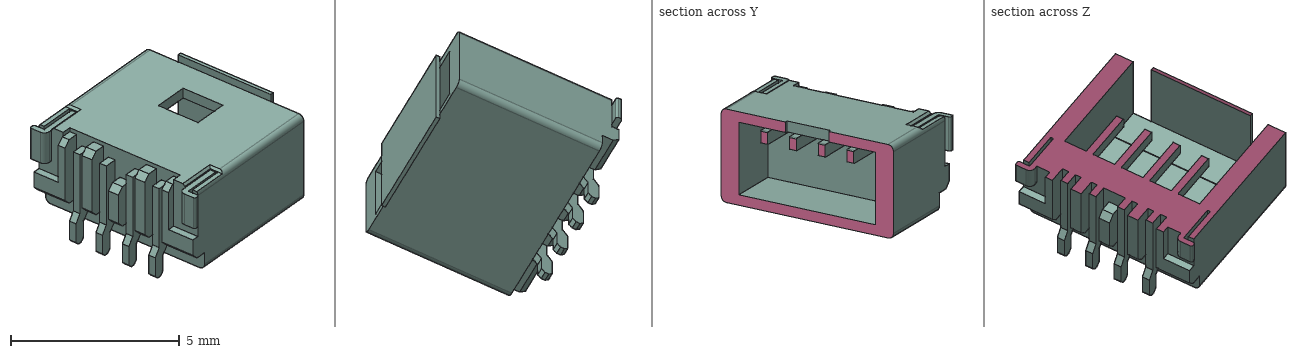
import cadquery as cq


housing_width = 6.0
housing_height = 3.0
housing_back = 5.415
edge_radius = 0.195
back_wall_y = 0.61
rib_front_y = 0.05
corner_front_y = 0.295
corner_inner_x = 2.085
end_rib_inner_x = 1.83
corner_bottom_z = 1.35

pitch = 1.0
pin_count = 4
rib_width = 0.375
rib_bottom_z = 0.605
rib_top_z = 2.865
middle_rib_top_z = 2.01
rib_chamfer = 0.2

pin_width = 0.25
pin_top_z = 2.545
pin_front_y = 0.19
foot_depth = 0.37
foot_bottom_z = -0.6
foot_chamfer = 0.12
bend_front_top_z = 0.45
bend_front_bottom_z = 0.18
bend_back_top_z = 0.4
bend_back_bottom_z = 0.095
contact_height = 0.4
contact_end_y = 3.31
contact_tip_radius = 0.09

cavity_width = 4.74
cavity_front_y = 1.61
wall_thickness = 0.35
floor_ramp_start_y = 4.205
floor_step = 0.1
window_width = 1.5
window_front_y = 3.18
window_back_y = 4.38

fitting_inner_x = 2.53
fitting_outer_x = 3.12
fitting_thickness = 0.195
fitting_bottom_z = 1.81
fitting_top_z = 2.9
fitting_back_y = 1.505
fitting_tip_radius = 0.06
slot_width = 0.275
pocket_depth = 0.075
pocket_margin = 0.02

plate_side = 3.5
plate_thickness = 0.125

half_width = housing_width / 2


def box(x_range, y_range, z_range):
    """Block between the given limits along each axis."""
    (x0, x1), (y0, y1), (z0, z1) = x_range, y_range, z_range
    return cq.Workplane("XY").box(x1 - x0, y1 - y0, z1 - z0, centered=False).translate((x0, y0, z0))


def side_profile(points, x_start, width):
    """Prism along X from (Y, Z) outline points."""
    return cq.Workplane("YZ").workplane(offset=x_start).polyline(points).close().extrude(width)


def both_sides(shape):
    """The shape together with its mirror image across X = 0."""
    return shape.union(shape.mirror("YZ"))


def make_shell():
    shell = box((-half_width, half_width), (back_wall_y, housing_back), (0, housing_height))
    return shell.edges("|Y").fillet(edge_radius)


def make_rib(x_start, width, top_z):
    """Upright rib on the back wall, chamfered at the top and bottom of its front."""
    chamfer_y = rib_front_y + rib_chamfer
    return side_profile(
        [
            (back_wall_y, rib_bottom_z),
            (chamfer_y, rib_bottom_z),
            (rib_front_y, rib_bottom_z + rib_chamfer),
            (rib_front_y, top_z - rib_chamfer),
            (chamfer_y, top_z),
            (back_wall_y, top_z),
        ],
        x_start,
        width,
    )


def make_corner_block():
    """End rib that runs out to the housing side, with its upper outer part set back."""
    block = make_rib(end_rib_inner_x, half_width - end_rib_inner_x, rib_top_z)
    corner_x = (corner_inner_x, half_width)
    corner_z = (corner_bottom_z, housing_height)
    block = block.cut(box(corner_x, (rib_front_y, back_wall_y), corner_z))
    corner = box(corner_x, (corner_front_y, housing_back), corner_z)
    corner = corner.edges("|Y and >X and >Z").fillet(edge_radius)
    return block.union(corner)


def make_cavity():
    """Mating cavity whose floor ramps down towards the open back."""
    ramp_end_y = floor_ramp_start_y + floor_step
    roof_z = housing_height - wall_thickness
    return side_profile(
        [
            (cavity_front_y, wall_thickness),
            (floor_ramp_start_y, wall_thickness),
            (ramp_end_y, wall_thickness - floor_step),
            (housing_back, wall_thickness - floor_step),
            (housing_back, roof_z),
            (cavity_front_y, roof_z),
        ],
        -cavity_width / 2,
        cavity_width,
    )


def make_window():
    half_window = window_width / 2
    return box(
        (-half_window, half_window),
        (window_front_y, window_back_y),
        (housing_height - wall_thickness, housing_height),
    )


def make_fitting_slot():
    """Slot for a fitting, below a shallow pocket with 45 degree sides in the housing top."""
    slot = box(
        (fitting_inner_x, fitting_inner_x + slot_width),
        (0, fitting_back_y),
        (fitting_bottom_z, housing_height),
    )
    floor_z = housing_height - pocket_depth
    floor_inner_x = fitting_inner_x - pocket_margin
    floor_back_y = fitting_back_y + pocket_margin
    sloped_back = side_profile(
        [
            (0, floor_z),
            (floor_back_y, floor_z),
            (floor_back_y + pocket_depth, housing_height),
            (0, housing_height),
        ],
        0,
        half_width,
    )
    sloped_side = (
        cq.Workplane("XZ")
        .polyline(
            [
                (half_width, floor_z),
                (floor_inner_x, floor_z),
                (floor_inner_x - pocket_depth, housing_height),
                (half_width, housing_height),
            ]
        )
        .close()
        .extrude(-housing_back)
    )
    pocket = sloped_back.intersect(sloped_side)
    return slot.union(pocket)


def make_fitting():
    """L-shaped strip: a leg in the slot and a foot that points outwards."""
    leg_outer_x = fitting_inner_x + fitting_thickness
    fitting = (
        cq.Workplane("XY")
        .workplane(offset=fitting_bottom_z)
        .moveTo(fitting_inner_x, 0)
        .lineTo(fitting_outer_x, 0)
        .lineTo(fitting_outer_x, fitting_thickness)
        .lineTo(leg_outer_x, fitting_thickness)
        .lineTo(leg_outer_x, fitting_back_y)
        .lineTo(fitting_inner_x, fitting_back_y)
        .close()
        .extrude(fitting_top_z - fitting_bottom_z)
    )
    fitting = fitting.edges("|Z and >X").fillet(fitting_tip_radius)
    return fitting.edges("|Z and <X and <Y").fillet(fitting_thickness)


def make_pin(x_center):
    """Bent pin with a contact in the cavity and a cranked foot below the housing."""
    pin = side_profile(
        [
            (contact_end_y, pin_top_z),
            (pin_front_y, pin_top_z),
            (pin_front_y, bend_front_top_z),
            (0, bend_front_bottom_z),
            (0, foot_bottom_z + foot_chamfer),
            (foot_chamfer, foot_bottom_z),
            (foot_depth - foot_chamfer, foot_bottom_z),
            (foot_depth, foot_bottom_z + foot_chamfer),
            (foot_depth, bend_back_bottom_z),
            (back_wall_y, bend_back_top_z),
            (back_wall_y, pin_top_z - contact_height),
            (contact_end_y, pin_top_z - contact_height),
        ],
        x_center - pin_width / 2,
        pin_width,
    )
    return pin.edges("|X and >Y and >Z").fillet(contact_tip_radius)


def make_connector():
    """Housing with its pins and solder fittings, as one solid."""
    connector = make_shell().union(both_sides(make_corner_block()))
    connector = connector.cut(make_cavity()).cut(make_window())
    for step, top_z in ((-1, rib_top_z), (0, middle_rib_top_z), (1, rib_top_z)):
        connector = connector.union(make_rib(step * pitch - rib_width / 2, rib_width, top_z))
    connector = connector.cut(both_sides(make_fitting_slot())).union(both_sides(make_fitting()))
    for index in range(pin_count):
        connector = connector.union(make_pin((index - (pin_count - 1) / 2) * pitch))
    return connector


def make_plate():
    """Square plate against the housing back, centred on the housing height."""
    half_side = plate_side / 2
    middle_z = housing_height / 2
    return box(
        (-half_side, half_side),
        (housing_back, housing_back + plate_thickness),
        (middle_z - half_side, middle_z + half_side),
    )


connector = make_connector()
plate = make_plate()
result = cq.Compound.makeCompound([connector.val(), plate.val()])